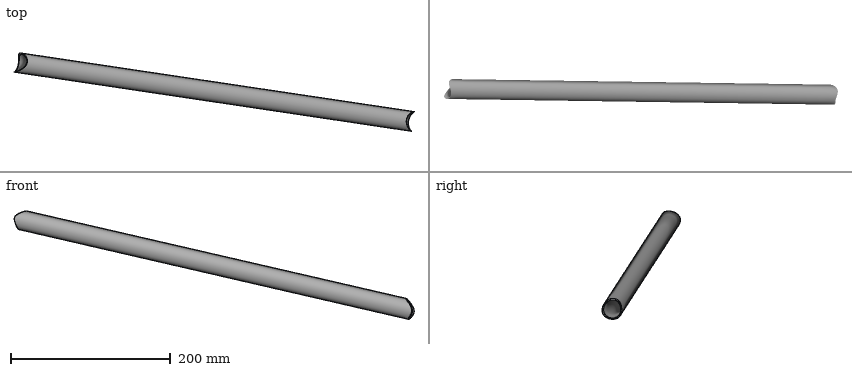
import cadquery as cq

outer_diameter = 25.0
wall = 1.65
tube_direction = cq.Vector(1.0, -0.149, -0.2304)
blank_length = 620.0

member_diameter = 30.0
member_length = 200.0
left_member_x = -255.31
left_member_shift_y = 1.23
left_member_direction = cq.Vector(0.505, 0.119, 1.0)
right_member_x = 256.6
right_member_shift_y = 0.0
right_member_direction = cq.Vector(-0.104, 0.062, 1.0)


def centred_cylinder(diameter, length, centre, direction):
    """Solid cylinder along a direction, with its middle at the given centre."""
    start = centre - direction.normalized() * (length / 2)
    return cq.Solid.makeCylinder(diameter / 2, length, start, direction)


def tube_blank():
    """Uncut tube, centred on the origin."""
    origin = cq.Vector(0, 0, 0)
    bore_diameter = outer_diameter - 2 * wall
    outside = centred_cylinder(outer_diameter, blank_length, origin, tube_direction)
    bore = centred_cylinder(bore_diameter, blank_length, origin, tube_direction)
    return outside.cut(bore)


def cope_member(x, shift_y, direction):
    """Round member meeting the tube axis at x, moved sideways by shift_y."""
    centre = tube_direction * x + cq.Vector(0, shift_y, 0)
    return centred_cylinder(member_diameter, member_length, centre, direction)


def coped_tube():
    """Tube cut by both members, without the offcuts beyond them."""
    left_member = cope_member(left_member_x, left_member_shift_y, left_member_direction)
    right_member = cope_member(right_member_x, right_member_shift_y, right_member_direction)
    pieces = tube_blank().cut(left_member, right_member).Solids()
    return max(pieces, key=lambda piece: piece.Volume())


result = cq.Workplane("XY").newObject([coped_tube()])